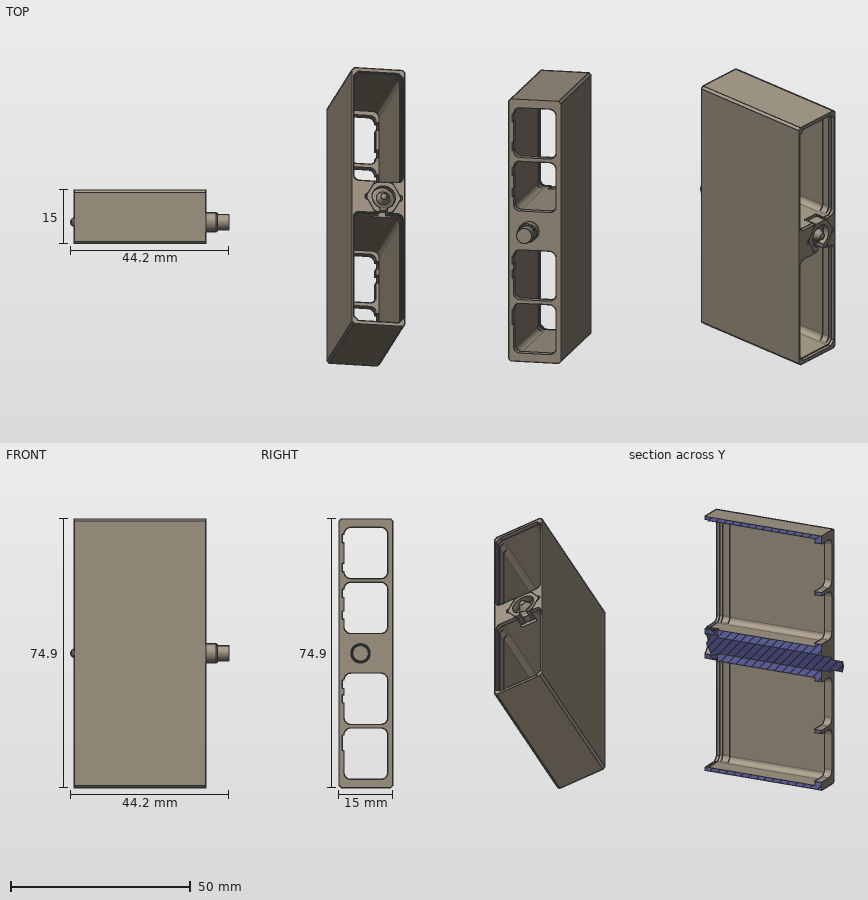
import cadquery as cq
import math

LENGTH = 36.7
WIDTH = 15.0
HEIGHT = 74.9
EDGE_CHAMFER = 0.7

WEB_HALF = 4.65
MOUTH_WEB_HALF = 4.6
GROOVE_WEB_HALF = 4.7
MOUTH_WALL = 0.45
CAVITY_WALL = 0.7
MOUTH_END_WALL = 1.0
CAVITY_END_WALL = 1.2
GROOVE_END_WALL = 1.3
MOUTH_DEPTH = 1.0
GROOVE_START = 1.95
GROOVE_WIDTH = 2.25
CORNER_CHAMFER = 1.35
CORNER_RADIUS = 1.65

PLATE = 2.25
WINDOW_WIDTH = 12.15
WINDOW_HEIGHT = 14.2
WINDOW_CENTRES = [27.95, 12.7, -12.7, -27.95]
WINDOW_RADIUS = 1.9

SLOT_SIZE = 2.25
SLOT_PITCH = 2.0
FIRST_SLOT = 3.1
SLOT_DEPTH = 0.45
CODED_SLOTS = [(0, 4), (0, 3), (0, 2), (0, 1)]

AXIS_Y = -1.5
NUT_APOTHEM = 4.35
NUT_THICKNESS = 3.3
POCKET_DEPTH = 3.9
NUT_ROUND_RADIUS = 4.7
NUT_BORE_RADIUS = 3.3
KEYWAY_WIDTH = 2.25
RELIEF_RADIUS = 0.9
RELIEF_OFFSET = 4.4

TIP_REACH = 1.0
TIP_HEIGHT = 0.4
TIP_EDGE_RADIUS = 0.9
CONE_DEPTH = 1.1
CONE_RADIUS = 1.9
COLLAR_DEPTH = 1.5
COLLAR_RADIUS = 2.5
HEAD_DEPTH = 1.95
SHANK_RADIUS = 2.7
SHANK_REACH = 3.15
SHANK_CHAMFER = 0.3
POST_RADIUS = 2.2
POST_REACH = 6.45

HEX_CORNER = NUT_APOTHEM / math.cos(math.pi / 6)


def section(x):
    """Sketch plane across the part at x, with local axes Y and Z."""
    return cq.Workplane("YZ", origin=(x, 0, 0))


def cylinder(radius, y, depth):
    """Cylinder along +X from the open face, centred on (y, z = 0)."""
    return section(0).center(y, 0).circle(radius).extrude(depth)


def cavity_layer(start, depth, side_wall, end_wall, web_half):
    """Upper cavity layer with rounded corners beside the web only."""
    half = WIDTH / 2 - side_wall
    height = HEIGHT / 2 - end_wall - web_half
    return (
        section(start)
        .center(0, web_half + height / 2)
        .rect(2 * half, height)
        .extrude(depth)
        .edges("|X and <Z")
        .fillet(CORNER_RADIUS)
    )


def cavity():
    """Upper cavity with a wider mouth and a snap groove in each side wall."""
    outer_corners = "|X and >Z"
    mouth = cavity_layer(0, MOUTH_DEPTH, MOUTH_WALL, MOUTH_END_WALL, MOUTH_WEB_HALF)
    mouth = mouth.edges(outer_corners).chamfer(CORNER_CHAMFER)
    deep = cavity_layer(0, LENGTH - PLATE, CAVITY_WALL, CAVITY_END_WALL, WEB_HALF)
    deep = deep.edges(outer_corners).fillet(CORNER_RADIUS)
    groove = cavity_layer(
        GROOVE_START, GROOVE_WIDTH, MOUTH_WALL, GROOVE_END_WALL, GROOVE_WEB_HALF
    )
    groove = groove.edges(outer_corners).fillet(CORNER_RADIUS)
    return mouth.union(deep).union(groove)


def window(centre_z, slots):
    """Rounded window through the plate, with its coding slots."""
    start = LENGTH - PLATE
    cut = (
        section(start)
        .center(0, centre_z)
        .rect(WINDOW_WIDTH, WINDOW_HEIGHT)
        .extrude(PLATE)
        .edges("|X")
        .fillet(WINDOW_RADIUS)
    )
    slot_edge = -WINDOW_WIDTH / 2 - SLOT_DEPTH
    for slot in slots:
        slot_z = centre_z + WINDOW_HEIGHT / 2 - FIRST_SLOT - slot * SLOT_PITCH
        notch = (
            section(start)
            .center(slot_edge / 2, slot_z)
            .rect(-slot_edge, SLOT_SIZE)
            .extrude(PLATE)
        )
        cut = cut.union(notch)
    return cut


def nut_pocket():
    """Hexagonal pocket that breaks through the web faces above and below the nut."""
    slant_y = HEX_CORNER - WEB_HALF / math.sqrt(3)
    pocket = (
        section(0)
        .center(AXIS_Y, 0)
        .polyline(
            [
                (HEX_CORNER, 0),
                (slant_y, WEB_HALF),
                (-slant_y, WEB_HALF),
                (-HEX_CORNER, 0),
                (-slant_y, -WEB_HALF),
                (slant_y, -WEB_HALF),
            ]
        )
        .close()
        .extrude(POCKET_DEPTH)
    )
    for side in (-1, 1):
        pocket = pocket.union(
            cylinder(RELIEF_RADIUS, AXIS_Y + side * RELIEF_OFFSET, POCKET_DEPTH)
        )
    return pocket


def make_housing():
    body = (
        section(0)
        .rect(WIDTH, HEIGHT)
        .extrude(LENGTH)
        .edges("|X")
        .chamfer(EDGE_CHAMFER)
    )
    upper_cavity = cavity()
    body = body.cut(upper_cavity).cut(upper_cavity.mirror("XY"))
    for centre_z, slots in zip(WINDOW_CENTRES, CODED_SLOTS):
        body = body.cut(window(centre_z, slots))
    return body.cut(nut_pocket()).cut(cylinder(SHANK_RADIUS, AXIS_Y, LENGTH))


def make_nut():
    """Hexagonal nut with rounded corners and a keyway open towards -Z."""
    hexagon = section(0).center(AXIS_Y, 0).polygon(6, 2 * HEX_CORNER).extrude(NUT_THICKNESS)
    keyway = (
        section(0)
        .center(AXIS_Y, -HEX_CORNER / 2)
        .rect(KEYWAY_WIDTH, HEX_CORNER)
        .extrude(NUT_THICKNESS)
    )
    return (
        hexagon.intersect(cylinder(NUT_ROUND_RADIUS, AXIS_Y, NUT_THICKNESS))
        .cut(cylinder(NUT_BORE_RADIUS, AXIS_Y, NUT_THICKNESS))
        .cut(keyway)
    )


def make_screw():
    """Screw revolved about its axis from a profile of (x, radius) points."""
    shank_end = LENGTH + SHANK_REACH
    dome_radius = (TIP_EDGE_RADIUS**2 + TIP_HEIGHT**2) / (2 * TIP_HEIGHT)
    half_angle = math.asin(TIP_EDGE_RADIUS / dome_radius) / 2
    dome_middle = (
        -TIP_REACH + dome_radius * (1 - math.cos(half_angle)),
        dome_radius * math.sin(half_angle),
    )
    return (
        cq.Workplane("XY", origin=(0, AXIS_Y, 0))
        .moveTo(-TIP_REACH, 0)
        .threePointArc(dome_middle, (TIP_HEIGHT - TIP_REACH, TIP_EDGE_RADIUS))
        .lineTo(CONE_DEPTH, CONE_RADIUS)
        .lineTo(COLLAR_DEPTH, COLLAR_RADIUS)
        .lineTo(HEAD_DEPTH, NUT_BORE_RADIUS)
        .lineTo(POCKET_DEPTH, NUT_BORE_RADIUS)
        .lineTo(POCKET_DEPTH, SHANK_RADIUS)
        .lineTo(shank_end - SHANK_CHAMFER, SHANK_RADIUS)
        .lineTo(shank_end, SHANK_RADIUS - SHANK_CHAMFER)
        .lineTo(shank_end, POST_RADIUS)
        .lineTo(LENGTH + POST_REACH, POST_RADIUS)
        .lineTo(LENGTH + POST_REACH, 0)
        .close()
        .revolve(360, (0, 0, 0), (1, 0, 0))
    )


housing = make_housing()
nut = make_nut()
screw = make_screw()

result = cq.Compound.makeCompound([housing.val(), nut.val(), screw.val()])